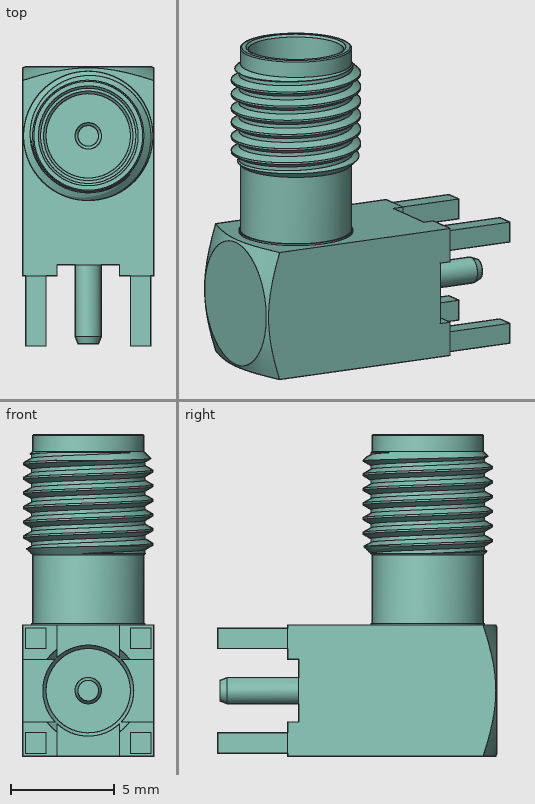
import cadquery as cq
import math


overall_height = 15.55

block_side = 6.35
block_back = 3.35
block_length = 10.1
block_front = block_back - block_length
half_side = block_side / 2
rear_cone_start_radius = 3.05
rear_cone_slope = math.tan(math.radians(25))

relief_width = 3.02
relief_depth = 0.53
port_mouth_radius = 2.5
port_half_angle = math.radians(30)

insulator_radius = 2.04

leg_side = 1.0
leg_length = 3.39
leg_spacing = 5.05
pin_radius = 0.64
pin_tip_setback = 0.11
pin_tip_radius = 0.5
pin_tip_length = 0.35

barrel_radius = 2.69
barrel_top = overall_height - half_side
barrel_rim_chamfer = 0.06
collar_radius = 2.75
collar_height = 0.08

socket_radius = 2.3
socket_depth = 1.85
socket_entry_chamfer = 0.11
seat_chamfer = 0.12
contact_hole_radius = 0.5
contact_hole_depth = 1.87
contact_entry_chamfer = pin_radius - contact_hole_radius

helix_length = 6.36
helix_turns = 9
thread_pitch = helix_length / helix_turns
thread_crest_radius = 3.13
thread_root_radius = collar_radius
thread_half_angle = math.radians(30)
thread_crest_width = 0.1
thread_top = barrel_top - 0.82
thread_bottom = barrel_top - 5.82
thread_run_out = 0.9
root_overlap = 0.05
crest_clearance = 0.05


def revolve_about_y(points):
    """Turn an outline given as (radius, y) points about the Y axis."""
    return cq.Workplane("XY").polyline(points).close().revolve(360, (0, 0, 0), (0, 1, 0))


def revolve_about_z(points):
    """Turn an outline given as (radius, z) points about the Z axis."""
    return cq.Workplane("XZ").polyline(points).close().revolve(360, (0, 0, 0), (0, 1, 0))


def make_block():
    """Square block whose four rear corners are turned off by a cone."""
    body = cq.Workplane("XZ", origin=(0, block_back, 0)).rect(block_side, block_side).extrude(block_length)
    envelope_radius = block_side
    cone_depth = (envelope_radius - rear_cone_start_radius) * rear_cone_slope
    envelope = revolve_about_y([
        (0, block_front),
        (envelope_radius, block_front),
        (envelope_radius, block_back - cone_depth),
        (rear_cone_start_radius, block_back),
        (0, block_back),
    ])
    return body.intersect(envelope)


def make_relief():
    """Crossed channels that leave a standing foot at each corner of the board face."""
    face = cq.Workplane("XZ", origin=(0, block_front, 0))
    across = face.rect(block_side, relief_width).extrude(-relief_depth)
    upright = face.rect(relief_width, block_side).extrude(-relief_depth)
    return across.union(upright)


def make_port():
    """Conical recess narrowing to the face of the insulator."""
    port_depth = (port_mouth_radius - insulator_radius) / math.tan(port_half_angle)
    return revolve_about_y([
        (0, block_front),
        (port_mouth_radius, block_front),
        (insulator_radius, block_front + port_depth),
        (0, block_front + port_depth),
    ])


def make_legs():
    """Four square solder legs standing on the corner feet."""
    return (
        cq.Workplane("XZ", origin=(0, block_front, 0))
        .rarray(leg_spacing, leg_spacing, 2, 2)
        .rect(leg_side, leg_side)
        .extrude(leg_length)
    )


def make_pin():
    """Centre pin with a tapered tip, starting on the block axis."""
    tip = block_front - leg_length + pin_tip_setback
    return revolve_about_y([
        (0, 0),
        (pin_radius, 0),
        (pin_radius, tip + pin_tip_length),
        (pin_tip_radius, tip),
        (0, tip),
    ])


def make_barrel():
    """Plain barrel with a low collar where it meets the block."""
    barrel = cq.Workplane("XY").circle(barrel_radius).extrude(barrel_top)
    barrel = barrel.faces(">Z").edges().chamfer(barrel_rim_chamfer)
    collar = cq.Workplane("XY").circle(collar_radius).extrude(half_side + collar_height)
    return barrel.union(collar)


def make_thread():
    """Right-hand helical ridge on its root cylinder, with both ends chamfered at 45 degrees."""
    ridge_foot_radius = thread_root_radius - root_overlap
    ridge_height = thread_crest_radius - ridge_foot_radius
    crest_half = thread_crest_width / 2
    foot_half = crest_half + ridge_height * math.tan(thread_half_angle)
    helix_start = thread_bottom - thread_run_out
    helix = cq.Wire.makeHelix(
        thread_pitch, helix_length, ridge_foot_radius, center=cq.Vector(0, 0, helix_start)
    )
    ridge = (
        cq.Workplane("XZ")
        .polyline([
            (ridge_foot_radius, helix_start - foot_half),
            (thread_crest_radius, helix_start - crest_half),
            (thread_crest_radius, helix_start + crest_half),
            (ridge_foot_radius, helix_start + foot_half),
        ])
        .close()
        .sweep(cq.Workplane(helix), isFrenet=True)
    )
    envelope_radius = thread_crest_radius + crest_clearance
    end_chamfer = envelope_radius - barrel_radius
    envelope = revolve_about_z([
        (0, thread_bottom),
        (barrel_radius, thread_bottom),
        (envelope_radius, thread_bottom + end_chamfer),
        (envelope_radius, thread_top - end_chamfer),
        (barrel_radius, thread_top),
        (0, thread_top),
    ])
    root = cq.Workplane("XY", origin=(0, 0, thread_bottom)).circle(thread_root_radius)
    root = root.extrude(thread_top - thread_bottom)
    return root.union(ridge).intersect(envelope)


def make_socket():
    """Stepped bore of the barrel, ending in the countersunk hole of the centre contact."""
    seat = barrel_top - socket_depth
    insulator_face = seat - seat_chamfer
    return revolve_about_z([
        (0, barrel_top),
        (socket_radius + socket_entry_chamfer, barrel_top),
        (socket_radius, barrel_top - socket_entry_chamfer),
        (socket_radius, seat),
        (insulator_radius + seat_chamfer, seat),
        (insulator_radius, insulator_face),
        (pin_radius, insulator_face),
        (contact_hole_radius, insulator_face - contact_entry_chamfer),
        (contact_hole_radius, insulator_face - contact_hole_depth),
        (0, insulator_face - contact_hole_depth),
    ])


block = make_block().cut(make_relief()).cut(make_port())
connector = block.union(make_legs()).union(make_pin())
connector = connector.union(make_barrel()).union(make_thread())
result = connector.cut(make_socket())